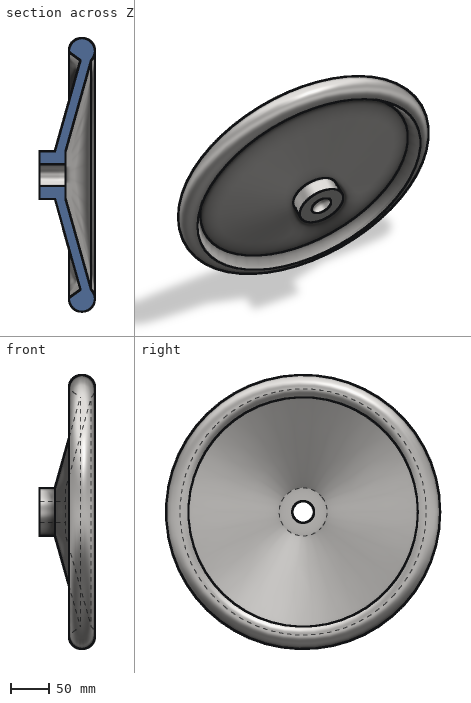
import cadquery as cq
import math

outer_radius = 180.0
total_depth = 73.0
hub_radius = 63.0 / 2
bore_radius = 28.0 / 2
hub_projection = 20.0

rim_radius = 17.3
rim_center_x = total_depth - rim_radius
rim_center_radius = outer_radius - rim_radius
rim_end_angle = math.radians(45)
rim_lip_radius = 161.5
rim_lip_x = rim_center_x - math.sqrt(rim_radius**2 - (rim_center_radius - rim_lip_radius) ** 2)
rim_front = (rim_lip_x, rim_lip_radius)
rim_crown = (rim_center_x, outer_radius)
rim_end = (
    rim_center_x + rim_radius * math.cos(rim_end_angle),
    rim_center_radius - rim_radius * math.sin(rim_end_angle),
)

web_outer = (53.5, rim_end[1])
bevel_inner = (41.7, 159.0)
web_thickness = rim_end[0] - web_outer[0]
hub_back_x = hub_projection + web_thickness

profile = (
    cq.Workplane("XY")
    .moveTo(0, bore_radius)
    .lineTo(0, hub_radius)
    .lineTo(hub_projection, hub_radius)
    .lineTo(*web_outer)
    .lineTo(*bevel_inner)
    .lineTo(*rim_front)
    .threePointArc(rim_crown, rim_end)
    .lineTo(hub_back_x, hub_radius)
    .lineTo(hub_back_x, bore_radius)
    .close()
)

result = profile.revolve(360, (0, 0, 0), (1, 0, 0))